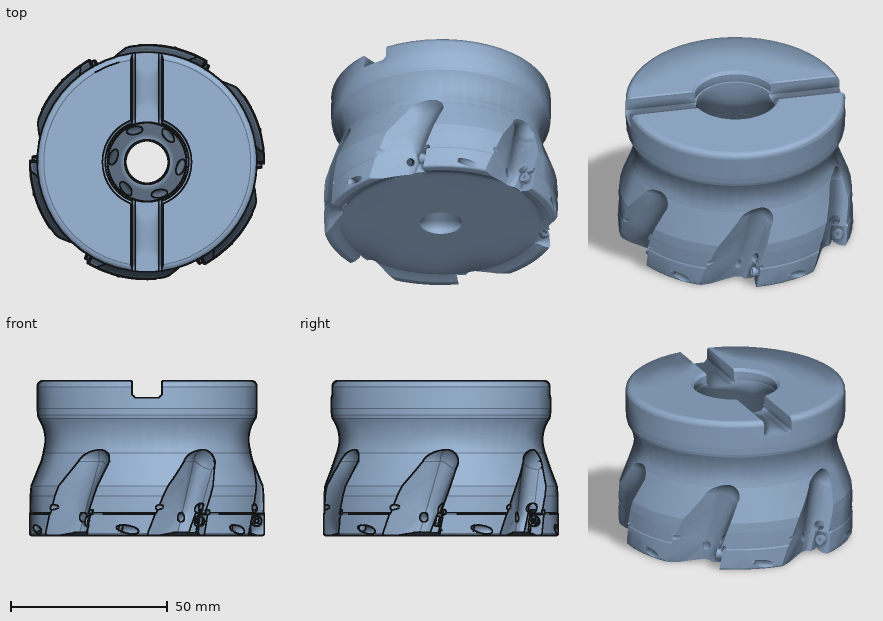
import cadquery as cq
import math

TOOTH_COUNT = 6
TOOTH_PITCH = 360 / TOOTH_COUNT
HEIGHT = 49.35
FLANGE_RADIUS = 35.0
FLANGE_EDGE_ROUND = 2.0
FLANGE_BOTTOM_Z = 40.5
TIP_RADIUS = 74.82 / 2
TIP_CORNER_ROUND = 0.8
FACE_RECESS_RADIUS = 35.0
FACE_RECESS_FLOOR_RADIUS = 32.0
FACE_RECESS_DEPTH = 1.1
BAND_RADIUS = TIP_RADIUS - 0.2
BAND_STEP_LOW_Z = 6.7
BAND_STEP_HIGH_Z = 7.2
BAND_TOP_Z = 12.7

WAIST_RADIUS = 32.4
WAIST_Z = 30.5
WAIST_ARC_RADIUS = 12.0
WAIST_LOW_ANGLE = 20.0
WAIST_TOP_Z = 37.4
SHOULDER_Z = 38.4
SHOULDER_RADIUS = 34.85
CONE_BOTTOM_Z = 15.8

BORE_RADIUS = 12.7
BORE_LOWER_RADIUS = 12.5
BORE_STEP_DEPTH = 15.3
BORE_FLOOR_Z = 22.0
RECESS_RADIUS = 13.3
RECESS_DEPTH = 3.6
RECESS_CHAMFER = 0.9
SCREW_PASSAGE_RADIUS = 6.75
SCREW_PASSAGE_CHAMFER = 0.35

SLOT_WIDTH = 9.5
SLOT_DEPTH = 5.45
SLOT_FLOOR_CHAMFER = 1.0
SLOT_EDGE_CHAMFER = 0.35

GULLET_ROOT_RADIUS = 3.8
GULLET_TOP_Z = 23.6
SEAM_BASE_X = 31.3
SEAM_BASE_Y = -7.1
SEAM_SLOPE_X = -0.048
SEAM_SLOPE_Y = 0.287
FLOOR_BASE_ANGLE = 5.4
FLOOR_TWIST = 1.15
GULLET_BACK_LENGTH = 22.0
GULLET_OUTER_REACH = 15.0

SEAT_TILT = 10.5
SEAT_BASE_Y = -0.55
SEAT_INNER_X = 32.6
SEAT_HEIGHT = 7.0
SEAT_DEPTH = 4.0
SIDE_RELIEF_RADIUS = 0.4
TOP_RELIEF_RADIUS = 0.8
TOP_RELIEF_RISE = 0.6
CORNER_DRILL_RADIUS = 1.15
CORNER_DRILL_START = cq.Vector(33.4, 0.8, 8.7)
CORNER_DRILL_END = cq.Vector(34.7, -16.5, 8.9)
CORNER_COUNTERBORE_RADIUS = 1.6
CORNER_COUNTERBORE_DEPTH = 5.0

SCREW_X = 34.9
SCREW_HEIGHT = 4.4
SCREW_SHANK_RADIUS = 1.25
SCREW_LENGTH_IN_BODY = 10.4
SCREW_HEAD_RADIUS = 1.6
SCREW_HEAD_TOP = 2.0
SCREW_CONE_START = 0.5
SCREW_CONE_END = 1.0
DRIVE_CORE_RADIUS = 0.6
DRIVE_LOBE_RADIUS = 0.25
DRIVE_LOBES = 6
DRIVE_DEPTH = 0.8

COOLANT_RADIUS = 1.3
COOLANT_ENTRY = cq.Vector(3.96, -10.07, BORE_FLOOR_Z)
COOLANT_EXIT = cq.Vector(31.4, -5.4, 5.6)
COOLANT_OVERRUN = 3.0

CLEARANCE = 1.0


def waist_radius(z):
    """Radius of the concave waist arc at height z."""
    rise = z - WAIST_Z
    return WAIST_RADIUS + WAIST_ARC_RADIUS - math.sqrt(WAIST_ARC_RADIUS**2 - rise**2)


def make_blank():
    """Solid of revolution with the flange, waist and cutting band."""
    waist_low_z = WAIST_Z - WAIST_ARC_RADIUS * math.sin(math.radians(WAIST_LOW_ANGLE))
    waist_low_radius = waist_radius(waist_low_z)
    cone_drop = waist_low_z - CONE_BOTTOM_Z
    cone_radius = waist_low_radius + cone_drop * math.tan(math.radians(WAIST_LOW_ANGLE))
    profile = (
        cq.Workplane("XZ")
        .moveTo(0, FACE_RECESS_DEPTH)
        .lineTo(FACE_RECESS_FLOOR_RADIUS, FACE_RECESS_DEPTH)
        .lineTo(FACE_RECESS_RADIUS, 0)
        .lineTo(TIP_RADIUS, 0)
        .lineTo(TIP_RADIUS, BAND_STEP_LOW_Z)
        .lineTo(BAND_RADIUS, BAND_STEP_HIGH_Z)
        .lineTo(BAND_RADIUS, BAND_TOP_Z)
        .lineTo(cone_radius, CONE_BOTTOM_Z)
        .lineTo(waist_low_radius, waist_low_z)
        .threePointArc((WAIST_RADIUS, WAIST_Z), (waist_radius(WAIST_TOP_Z), WAIST_TOP_Z))
        .lineTo(SHOULDER_RADIUS, SHOULDER_Z)
        .lineTo(FLANGE_RADIUS, FLANGE_BOTTOM_Z)
        .lineTo(FLANGE_RADIUS, HEIGHT)
        .lineTo(0, HEIGHT)
        .close()
    )
    blank = profile.revolve(360, (0, 0, 0), (0, 1, 0))
    blank = blank.faces(">Z").edges().fillet(FLANGE_EDGE_ROUND)
    return blank.faces("<Z").edges(cq.selectors.RadiusNthSelector(-1)).fillet(TIP_CORNER_ROUND)


def make_bore():
    """Stepped bore: chamfered recess, arbor bore, narrower lower bore and screw passage."""
    recess_z = HEIGHT - RECESS_DEPTH
    step_z = HEIGHT - BORE_STEP_DEPTH
    passage_mouth = SCREW_PASSAGE_RADIUS + SCREW_PASSAGE_CHAMFER
    return (
        cq.Workplane("XZ")
        .moveTo(0, -CLEARANCE)
        .lineTo(SCREW_PASSAGE_RADIUS, -CLEARANCE)
        .lineTo(SCREW_PASSAGE_RADIUS, BORE_FLOOR_Z - SCREW_PASSAGE_CHAMFER)
        .lineTo(passage_mouth, BORE_FLOOR_Z)
        .lineTo(BORE_LOWER_RADIUS, BORE_FLOOR_Z)
        .lineTo(BORE_LOWER_RADIUS, step_z)
        .lineTo(BORE_RADIUS, step_z)
        .lineTo(BORE_RADIUS, recess_z)
        .lineTo(RECESS_RADIUS, recess_z)
        .lineTo(RECESS_RADIUS, HEIGHT - RECESS_CHAMFER)
        .lineTo(RECESS_RADIUS + RECESS_CHAMFER, HEIGHT)
        .lineTo(0, HEIGHT)
        .close()
        .revolve(360, (0, 0, 0), (0, 1, 0))
    )


def make_drive_slot():
    """Slot along Y across the top face, with chamfered floor corners and top edges."""
    half = SLOT_WIDTH / 2
    floor_z = HEIGHT - SLOT_DEPTH
    right_side = [
        (half - SLOT_FLOOR_CHAMFER, floor_z),
        (half, floor_z + SLOT_FLOOR_CHAMFER),
        (half, HEIGHT - SLOT_EDGE_CHAMFER),
        (half + SLOT_EDGE_CHAMFER, HEIGHT),
    ]
    left_side = [(-x, z) for x, z in reversed(right_side)]
    return (
        cq.Workplane("XZ")
        .polyline(right_side + left_side)
        .close()
        .extrude(FLANGE_RADIUS + CLEARANCE, both=True)
    )


def gullet_plane(z):
    """Plane at height z on the seam; local X points out of the floor, local Y to the tooth."""
    angle = math.radians(FLOOR_BASE_ANGLE + FLOOR_TWIST * z)
    seam = (SEAM_BASE_X + SEAM_SLOPE_X * z, SEAM_BASE_Y + SEAM_SLOPE_Y * z, z)
    return cq.Plane(origin=seam, xDir=(math.cos(angle), math.sin(angle), 0), normal=(0, 0, 1))


def gullet_section(z):
    """Closed gullet outline at height z: floor, round root, tooth wall and open sides.

    The floor twists with height while the wall keeps its direction, so the root arc grows.
    """
    root = GULLET_ROOT_RADIUS
    twist = math.radians(FLOOR_TWIST * z)
    arc_half = (math.pi / 2 + twist) / 2
    arc_middle = (root - root * math.cos(arc_half), root * math.sin(arc_half))
    arc_end = (root + root * math.sin(twist), root * math.cos(twist))
    wall_run = (GULLET_OUTER_REACH - arc_end[0]) / math.cos(twist)
    wall_end = (GULLET_OUTER_REACH, arc_end[1] - wall_run * math.sin(twist))
    return (
        cq.Workplane(gullet_plane(z))
        .threePointArc(arc_middle, arc_end)
        .lineTo(*wall_end)
        .lineTo(GULLET_OUTER_REACH, -GULLET_BACK_LENGTH)
        .lineTo(0, -GULLET_BACK_LENGTH)
        .close()
        .val()
    )


def make_gullet():
    """Twisted gullet channel and the ball-milled dome that closes its top."""
    sections = [gullet_section(-CLEARANCE), gullet_section(GULLET_TOP_Z)]
    channel = cq.Solid.makeLoft(sections, True)
    top = gullet_plane(GULLET_TOP_Z)
    ball_centre = top.toWorldCoords((GULLET_ROOT_RADIUS, 0, 0))
    ball = cq.Workplane(origin=ball_centre).sphere(GULLET_ROOT_RADIUS).val()
    ball_path = cq.Solid.makeCylinder(
        GULLET_ROOT_RADIUS, GULLET_BACK_LENGTH, ball_centre, -top.yDir
    )
    return [channel, ball, ball_path]


def seat_plane(x, height, offset=0):
    """Plane on the insert seat, offset along its outward normal; local Y runs up the seat."""
    tilt = math.radians(SEAT_TILT)
    base = cq.Plane(
        origin=(0, SEAT_BASE_Y, 0),
        xDir=(1, 0, 0),
        normal=(0, -math.cos(tilt), math.sin(tilt)),
    )
    base.origin = base.toWorldCoords((x, height, offset))
    return base


def make_drill(radius, start, end):
    """Cylinder between two points."""
    axis = end - start
    return cq.Solid.makeCylinder(radius, axis.Length, start, axis)


def make_seat_pocket():
    """Insert seat with its inner, top and corner relief cuts."""
    reach = TIP_RADIUS - SEAT_INNER_X + CLEARANCE
    base = seat_plane(SEAT_INNER_X, -CLEARANCE)
    full_height = SEAT_HEIGHT + CLEARANCE
    pocket = cq.Workplane(base).rect(reach, full_height, centered=False).extrude(SEAT_DEPTH).val()
    side_relief = cq.Solid.makeCylinder(SIDE_RELIEF_RADIUS, full_height, base.origin, base.yDir)
    top_corner = seat_plane(SEAT_INNER_X, SEAT_HEIGHT + TOP_RELIEF_RISE)
    top_relief = cq.Solid.makeCylinder(TOP_RELIEF_RADIUS, reach, top_corner.origin, top_corner.xDir)
    corner_relief = make_drill(CORNER_DRILL_RADIUS, CORNER_DRILL_START, CORNER_DRILL_END)
    counterbore_axis = (CORNER_DRILL_END - CORNER_DRILL_START).normalized() * CORNER_COUNTERBORE_DEPTH
    corner_counterbore = make_drill(
        CORNER_COUNTERBORE_RADIUS, CORNER_DRILL_START, CORNER_DRILL_START + counterbore_axis
    )
    return [pocket, side_relief, top_relief, corner_relief, corner_counterbore]


def make_screw_hole():
    """Clamping screw hole, from the seat out through the back of the tooth."""
    seat = seat_plane(SCREW_X, SCREW_HEIGHT)
    return cq.Solid.makeCylinder(SCREW_SHANK_RADIUS, TIP_RADIUS, seat.origin, -seat.zDir)


def make_coolant_hole():
    """Inclined hole from the bore floor to the gullet."""
    overrun = (COOLANT_EXIT - COOLANT_ENTRY).normalized() * COOLANT_OVERRUN
    return make_drill(COOLANT_RADIUS, COOLANT_ENTRY - overrun, COOLANT_EXIT + overrun)


def make_clamping_screw():
    """Screw standing proud of the seat at +X, with a six-lobe drive recess."""
    seat = seat_plane(SCREW_X, SCREW_HEIGHT)
    screw = (
        cq.Workplane(cq.Plane(seat.origin, seat.xDir, -seat.yDir))
        .moveTo(0, -SCREW_LENGTH_IN_BODY)
        .lineTo(SCREW_SHANK_RADIUS, -SCREW_LENGTH_IN_BODY)
        .lineTo(SCREW_SHANK_RADIUS, SCREW_CONE_START)
        .lineTo(SCREW_HEAD_RADIUS, SCREW_CONE_END)
        .lineTo(SCREW_HEAD_RADIUS, SCREW_HEAD_TOP)
        .lineTo(0, SCREW_HEAD_TOP)
        .close()
        .revolve(360, (0, 0, 0), (0, 1, 0))
    )
    head_top = seat_plane(SCREW_X, SCREW_HEIGHT, SCREW_HEAD_TOP)
    core = cq.Workplane(head_top).circle(DRIVE_CORE_RADIUS).extrude(-DRIVE_DEPTH)
    lobes = (
        cq.Workplane(head_top)
        .polarArray(DRIVE_CORE_RADIUS, 0, 360, DRIVE_LOBES)
        .circle(DRIVE_LOBE_RADIUS)
        .extrude(-DRIVE_DEPTH)
    )
    return screw.cut(core).cut(lobes)


def make_cutter_body():
    """One-piece cutter body with every tooth feature repeated around the axis."""
    body = make_blank().cut(make_bore()).cut(make_drive_slot())
    tooth_cuts = make_gullet() + make_seat_pocket() + [make_screw_hole(), make_coolant_hole()]
    for index in range(TOOTH_COUNT):
        for cutter in tooth_cuts:
            placed_cutter = cutter.rotate((0, 0, 0), (0, 0, 1), index * TOOTH_PITCH)
            body = body.cut(cq.Workplane(placed_cutter))
    return body


cutter_body = make_cutter_body()

clamping_screw = make_clamping_screw()
clamping_screws = [
    clamping_screw.rotate((0, 0, 0), (0, 0, 1), index * TOOTH_PITCH).val()
    for index in range(TOOTH_COUNT)
]

result = cq.Compound.makeCompound([cutter_body.val(), *clamping_screws])